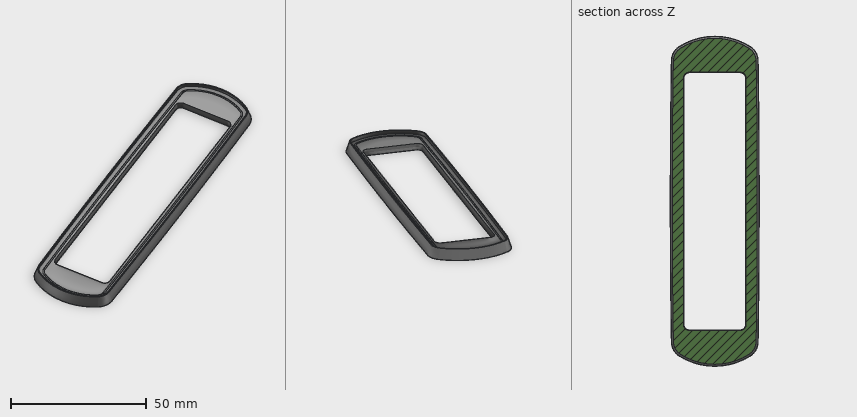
import cadquery as cq

LENGTH = 121.8
WIDTH = 32.9
HEIGHT = 4.0

SIDE_BOW = 0.46
SIDE_CORNER_Y = 55.0
CORNER_RADIUS = 6.3

RIM_SLOPE_INSET = 1.3
RIM_TOP_WIDTH = 0.4
RIM_UNDERCUT = 0.2
FLOOR_HEIGHT = 2.5

BEAD_INSET = 3.2
BEAD_WIDTH = 0.6
BEAD_RISE = 0.2

WINDOW_LENGTH = 95.2
WINDOW_WIDTH = 23.0
WINDOW_CORNER_RADIUS = 2.2
WINDOW_SPLIT_HEIGHT = 1.1
WINDOW_LOWER_DRAFT = 5.0


def base_outline():
    """Outer wire at the base; each long side is two arcs meeting at mid-length."""
    half_length = LENGTH / 2
    half_width = WIDTH / 2
    corner_x = half_width - SIDE_BOW
    quarter_x = half_width - SIDE_BOW / 4
    quarter_y = SIDE_CORNER_Y / 2
    outline = (
        cq.Sketch()
        .arc((half_width, 0), (quarter_x, quarter_y), (corner_x, SIDE_CORNER_Y))
        .arc((corner_x, SIDE_CORNER_Y), (0, half_length), (-corner_x, SIDE_CORNER_Y))
        .arc((-corner_x, SIDE_CORNER_Y), (-quarter_x, quarter_y), (-half_width, 0))
        .arc((-half_width, 0), (-quarter_x, -quarter_y), (-corner_x, -SIDE_CORNER_Y))
        .arc((-corner_x, -SIDE_CORNER_Y), (0, -half_length), (corner_x, -SIDE_CORNER_Y))
        .arc((corner_x, -SIDE_CORNER_Y), (quarter_x, -quarter_y), (half_width, 0))
        .assemble()
        .vertices(">Y or <Y")
        .fillet(CORNER_RADIUS)
    )
    return outline.reset().faces().val().outerWire()


def inset_outline(inset, height):
    """Base outline moved inward by `inset` and lifted to `height`."""
    wire = base_outline()
    if inset > 0:
        wire = wire.offset2D(-inset)[0]
    return wire.moved(cq.Location(cq.Vector(0, 0, height)))


def sloped_block(bottom_inset, bottom, top_inset, top):
    """Solid with straight sloping walls between two inset outlines."""
    outlines = [inset_outline(bottom_inset, bottom), inset_outline(top_inset, top)]
    return cq.Workplane(cq.Solid.makeLoft(outlines, True))


def floor_bead():
    """Round-topped bead swept along the inset outline; its foot is sunk into the floor."""
    outer_x = WIDTH / 2 - BEAD_INSET
    middle_x = outer_x - BEAD_WIDTH / 2
    inner_x = outer_x - BEAD_WIDTH
    foot_height = FLOOR_HEIGHT - BEAD_RISE
    crest_height = FLOOR_HEIGHT + BEAD_RISE
    return (
        cq.Workplane("XZ")
        .moveTo(outer_x, foot_height)
        .lineTo(outer_x, FLOOR_HEIGHT)
        .threePointArc((middle_x, crest_height), (inner_x, FLOOR_HEIGHT))
        .lineTo(inner_x, foot_height)
        .close()
        .sweep(cq.Workplane(inset_outline(BEAD_INSET, FLOOR_HEIGHT)))
    )


def window_cutter(height, draft):
    """Window prism growing from the split height: up if `height` is positive, down if negative."""
    return (
        cq.Workplane("XY", origin=(0, 0, WINDOW_SPLIT_HEIGHT))
        .sketch()
        .rect(WINDOW_WIDTH, WINDOW_LENGTH)
        .vertices()
        .fillet(WINDOW_CORNER_RADIUS)
        .finalize()
        .extrude(height, taper=draft)
    )


rim_body = sloped_block(0, 0, RIM_SLOPE_INSET, HEIGHT)
recess_top_inset = RIM_SLOPE_INSET + RIM_TOP_WIDTH
recess_floor_inset = recess_top_inset - RIM_UNDERCUT
recess = sloped_block(recess_floor_inset, FLOOR_HEIGHT, recess_top_inset, HEIGHT)

upper_window = window_cutter(HEIGHT - WINDOW_SPLIT_HEIGHT, 0)
lower_window = window_cutter(-WINDOW_SPLIT_HEIGHT, WINDOW_LOWER_DRAFT)

result = rim_body.cut(recess).union(floor_bead()).cut(upper_window).cut(lower_window)